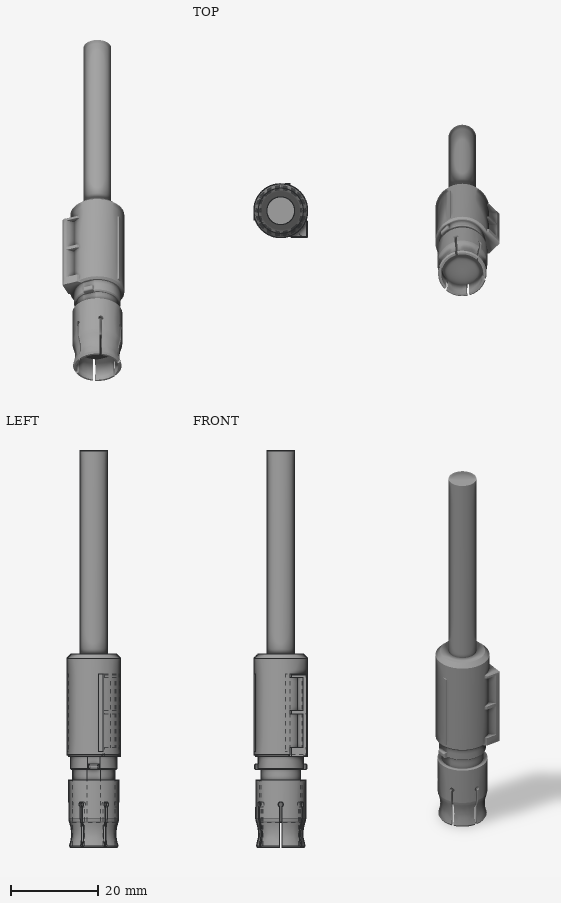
import cadquery as cq
import math

total_length = 91.1
grip_bottom = 20.95
grip_top = 44.5
sleeve_top = 15.5
flange_bottom = 17.95
insert_bottom = 5.8

cable_radius = 3.2
grip_radius = 6.2
grip_top_chamfer = 1.0
grip_bottom_chamfer = 0.5

fin_top = 39.9
fin_angle = -45.0
fin_web_width = 1.55
fin_flange_width = 5.2
fin_flange_thickness = 0.8
fin_middle_bottom = 30.7
fin_foot_height = 2.0
fin_chamfer = 0.3

rib_width = 1.0
rib_offset = 1.6
rib_bottom = 22.1
rib_top = 39.9

flange_radius = 5.4
flange_flat_distance = 5.2
flange_chamfer = 0.3
neck_radius = 4.8
neck_flat_distance = 4.6
latch_reach = 6.0
latch_width = 2.4
latch_height = 1.3
latch_fillet = 0.4

sleeve_radius = 5.7
shoulder_top = 6.7
shoulder_bottom = 5.9
waist_height = 3.2
waist_radius = 5.1
waist_arc_radius = 8.2
rim_chamfer = 0.3
slot_count = 6
slot_width = 0.55
slot_hole_diameter = 1.2
slot_hole_height = 9.9


def cylinder(radius, bottom, top):
    return cq.Workplane("XY").workplane(offset=bottom).circle(radius).extrude(top - bottom)


def block(x_range, y_range, z_range):
    """Axis-aligned box given by its limits along X, Y and Z."""
    size = [high - low for low, high in (x_range, y_range, z_range)]
    corner = (x_range[0], y_range[0], z_range[0])
    return cq.Workplane("XY").box(*size, centered=False).translate(corner)


def fin_plate(width, bottom, top):
    """Radial plate pointing at the (+X, -Y) corner, trimmed to the square around the grip."""
    diagonal = grip_radius * math.sqrt(2)
    plate = block((0, diagonal), (-width / 2, width / 2), (bottom, top))
    plate = plate.rotate((0, 0, 0), (0, 0, 1), fin_angle)
    return plate.intersect(block((0, grip_radius), (-grip_radius, 0), (bottom, top)))


def fin_envelope():
    """Square quadrant with its outer vertical corner and outer top edges bevelled."""
    quadrant = block((0, grip_radius), (-grip_radius, 0), (grip_bottom, fin_top))
    return quadrant.edges("(>X and >Z) or (<Y and >Z) or (>X and <Y)").chamfer(fin_chamfer)


def make_fin():
    """Web along the diagonal with a top flange, a middle flange and a thicker foot."""
    fin = fin_plate(fin_web_width, grip_bottom, fin_top)
    flanges = [
        (fin_top - fin_flange_thickness, fin_top),
        (fin_middle_bottom, fin_middle_bottom + fin_flange_thickness),
        (grip_bottom, grip_bottom + fin_foot_height),
    ]
    for bottom, top in flanges:
        fin = fin.union(fin_plate(fin_flange_width, bottom, top))
    return fin.intersect(fin_envelope())


def make_cable_grip():
    """Cable with its moulded grip, fin and ribs."""
    grip = cylinder(grip_radius, grip_bottom, grip_top)
    grip = grip.faces(">Z").chamfer(grip_top_chamfer)
    grip = grip.faces("<Z").chamfer(grip_bottom_chamfer)
    low_side = -rib_offset - rib_width / 2
    left_rib = block((-grip_radius, 0), (low_side, low_side + rib_width), (rib_bottom, rib_top))
    back_rib = block((-low_side - rib_width, -low_side), (0, grip_radius), (rib_bottom, rib_top))
    cable = cylinder(cable_radius, grip_top, total_length)
    return grip.union(make_fin()).union(left_rib).union(back_rib).union(cable)


def flatted_cylinder(radius, flat_distance, bottom, top):
    """Cylinder with one flat on the -X side and one on the +X side."""
    flats = block((-flat_distance, flat_distance), (-radius, radius), (bottom, top))
    return cylinder(radius, bottom, top).intersect(flats)


def make_insert():
    """Contact insert: flange with two latches, and a neck that fills the upper sleeve bore."""
    flange = flatted_cylinder(flange_radius, flange_flat_distance, flange_bottom, grip_bottom)
    bevelled = cylinder(flange_radius, flange_bottom, grip_bottom).faces("<Z").chamfer(flange_chamfer)
    flange = flange.intersect(bevelled)
    neck = flatted_cylinder(neck_radius, neck_flat_distance, insert_bottom, flange_bottom)
    latches = block(
        (-latch_reach, latch_reach),
        (-latch_width / 2, latch_width / 2),
        (flange_bottom, flange_bottom + latch_height),
    )
    latches = latches.faces("<X or >X").fillet(latch_fillet)
    return flange.union(neck).union(latches)


def make_sleeve():
    """Waisted snap sleeve, split into tongues by slots that end in round holes."""
    rise = shoulder_bottom - waist_height
    arc_spread = waist_arc_radius - math.sqrt(waist_arc_radius**2 - rise**2)
    arc_end_radius = waist_radius + arc_spread
    low_end = 2 * waist_height - shoulder_bottom
    sleeve = (
        cq.Workplane("XZ")
        .moveTo(neck_radius, 0)
        .lineTo(arc_end_radius - rim_chamfer, 0)
        .lineTo(arc_end_radius, low_end)
        .threePointArc((waist_radius, waist_height), (arc_end_radius, shoulder_bottom))
        .tangentArcPoint((sleeve_radius, shoulder_top), relative=False)
        .lineTo(sleeve_radius, sleeve_top)
        .lineTo(neck_radius, sleeve_top)
        .close()
        .revolve(360, (0, 0, 0), (0, 1, 0))
    )
    slot = block((0, grip_radius), (-slot_width / 2, slot_width / 2), (0, slot_hole_height))
    hole = cq.Workplane("YZ").center(0, slot_hole_height).circle(slot_hole_diameter / 2).extrude(grip_radius)
    cutter = slot.union(hole)
    for index in range(slot_count):
        angle = 90 + index * 360 / slot_count
        sleeve = sleeve.cut(cutter.rotate((0, 0, 0), (0, 0, 1), angle))
    return sleeve


cable_grip = make_cable_grip().solids()
insert = make_insert().solids()
sleeve = make_sleeve().solids()
result = cq.Compound.makeCompound([cable_grip.val(), insert.val(), sleeve.val()])